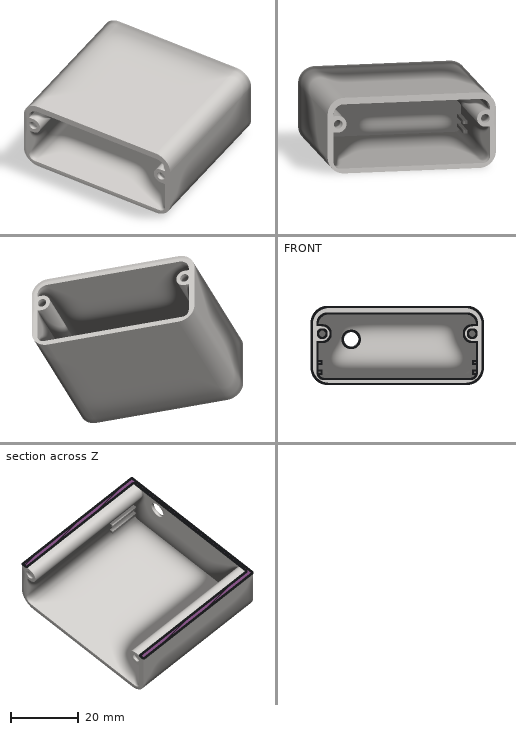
import cadquery as cq

width = 51.0
depth = 46.2
height = 23.0
outer_radius = 5.0

side_wall = 1.8
top_wall = 2.0
bottom_wall = 1.5
back_wall = 1.0
top_inner_radius = 3.0
bottom_inner_radius = 2.0

boss_diameter = 5.0
boss_hole_diameter = 2.6
boss_inset = 3.2
boss_drop = 8.0
boss_hole_depth = 10.0

rib_size = 1.0
rib_reach = 3.0
rib_heights = (3.5, 6.4)
rib_length = 10.0

cable_hole_diameter = 5.0
cable_hole_inset = 11.8
cable_hole_drop = 9.7

right = width / 2
top = height / 2
front = -depth / 2
back = depth / 2
inner_back = back - back_wall
cavity_width = width - 2 * side_wall
cavity_height = height - top_wall - bottom_wall
cavity_middle = (bottom_wall - top_wall) / 2


def block(x_size, z_size, x, z, y_start, y_end):
    """Box centred on (x, z) that runs along Y."""
    return (
        cq.Workplane("XY")
        .box(x_size, y_end - y_start, z_size)
        .translate((x, (y_start + y_end) / 2, z))
    )


def rod(diameter, x, z, y_start, y_end):
    """Cylinder along Y with its axis at (x, z)."""
    return (
        cq.Workplane("XZ", origin=(x, y_start, z))
        .circle(diameter / 2)
        .extrude(y_start - y_end)
    )


def make_outer():
    return block(width, height, 0, 0, front, back).edges("|Y").fillet(outer_radius)


def make_cavity():
    return (
        block(cavity_width, cavity_height, 0, cavity_middle, front, inner_back)
        .edges("|Y and >Z")
        .fillet(top_inner_radius)
        .edges("|Y and <Z")
        .fillet(bottom_inner_radius)
    )


def make_boss(side):
    """Half-round boss joined to the side wall by a flat-sided web."""
    axis_x = side * (right - boss_inset)
    axis_z = top - boss_drop
    web_x = side * (right - boss_inset / 2)
    barrel = rod(boss_diameter, axis_x, axis_z, front, inner_back)
    web = block(boss_inset, boss_diameter, web_x, axis_z, front, inner_back)
    return barrel.union(web)


def make_boss_hole(side):
    """Blind screw hole from the front end of a boss."""
    return rod(
        boss_hole_diameter,
        side * (right - boss_inset),
        top - boss_drop,
        front,
        front + boss_hole_depth,
    )


def make_rib(side, rib_height):
    """Square rib on a side wall, rooted in the wall and running forward from the back."""
    return block(
        rib_reach,
        rib_size,
        side * (right - rib_reach / 2),
        rib_height - height / 2,
        inner_back - rib_length,
        inner_back,
    )


def make_cable_hole():
    return rod(
        cable_hole_diameter,
        cable_hole_inset - right,
        top - cable_hole_drop,
        inner_back,
        back,
    )


outer = make_outer()
result = outer.cut(make_cavity())
for side in (-1, 1):
    fittings = make_boss(side)
    for rib_height in rib_heights:
        fittings = fittings.union(make_rib(side, rib_height))
    result = result.union(fittings.intersect(outer))
    result = result.cut(make_boss_hole(side))
result = result.cut(make_cable_hole())